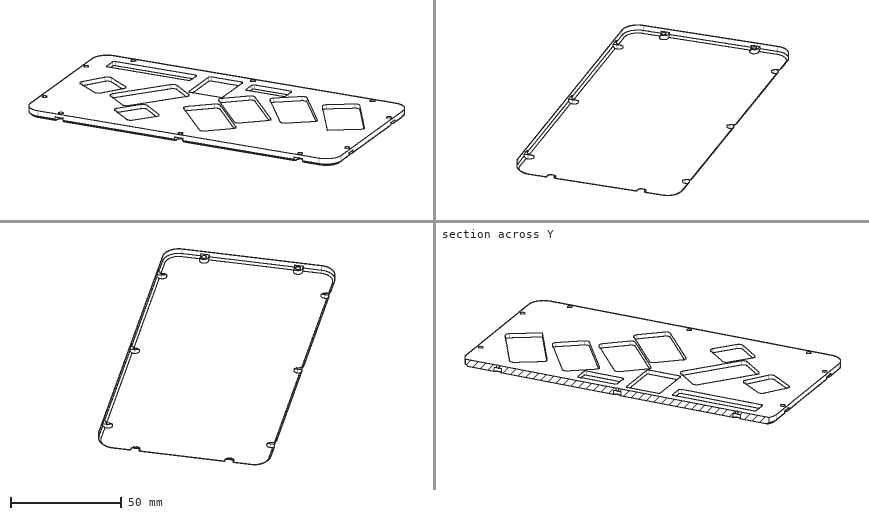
import cadquery as cq

LENGTH = 156.3
WIDTH = 79.5
THICKNESS = 3.6
CORNER_RADIUS = 7.5
BOTTOM_CHAMFER = 1.0

HOLE_DIAMETER = 2.2
HOLE_INSET = 2.0
LONG_EDGE_HOLE_X = 60.2
SHORT_EDGE_HOLE_Y = 21.7
RECESS_WIDTH = 4.0
RECESS_DEPTH = 2.0

POCKET_DEPTH = 2.0
KEY_WIDTH = 17.0
KEY_LENGTH = 33.0
SMALL_KEY_WIDTH = 16.0
KEY_CORNER_RADIUS = 2.0
BAR_WIDTH = 7.8
BAR_Y = 29.2
BAR_CORNER_RADIUS = 1.0

KEY_POCKETS = [
    (-34.0, 0.6, KEY_LENGTH, -40),
    (3.1, -13.8, KEY_LENGTH, 40),
    (12.8, 2.5, KEY_LENGTH, 40),
    (33.0, 11.7, KEY_LENGTH, 35),
    (-58.8, 3.1, SMALL_KEY_WIDTH, -35),
    (-29.5, -22.0, SMALL_KEY_WIDTH, -40),
]

END_KEY_X = 57.4
END_KEY_Y = 13.1
END_KEY_TURN = 30

STRAIGHT_POCKETS = [
    (-46.9, BAR_Y, 42.0, BAR_WIDTH),
    (12.0, BAR_Y, 19.9, BAR_WIDTH),
    (-11.5, 23.0, KEY_WIDTH, 22.2),
]


def make_plate():
    """Rounded plate standing on Z = 0 with its bottom rim chamfered."""
    plate = cq.Workplane("XY").box(LENGTH, WIDTH, THICKNESS, centered=(True, True, False))
    plate = plate.edges("|Z").fillet(CORNER_RADIUS)
    return plate.faces("<Z").edges().chamfer(BOTTOM_CHAMFER)


def make_pocket(x, y, size_x, size_y, radius, turn=0, rounded="|Z"):
    """Cutter for a pocket turned about its own centre; `rounded` selects its rounded corners."""
    cutter = cq.Workplane("XY").box(size_x, size_y, POCKET_DEPTH, centered=(True, True, False))
    cutter = cutter.edges(rounded).fillet(radius)
    cutter = cutter.rotate((0, 0, 0), (0, 0, 1), turn)
    return cutter.translate((x, y, THICKNESS - POCKET_DEPTH))


def make_screw_hole(x, y, outward):
    """Cutter for a through hole and its round-ended recess, open towards `outward` degrees."""
    hole = cq.Workplane("XY").circle(HOLE_DIAMETER / 2).extrude(THICKNESS)
    round_end = cq.Workplane("XY").circle(RECESS_WIDTH / 2).extrude(RECESS_DEPTH)
    opening = cq.Workplane("XY").box(
        RECESS_WIDTH, RECESS_WIDTH, RECESS_DEPTH, centered=(False, True, False)
    )
    cutter = hole.union(round_end).union(opening)
    return cutter.rotate((0, 0, 0), (0, 0, 1), outward).translate((x, y, 0))


result = make_plate()

for x, y, length, turn in KEY_POCKETS:
    result = result.cut(make_pocket(x, y, KEY_WIDTH, length, KEY_CORNER_RADIUS, turn))

result = result.cut(
    make_pocket(
        END_KEY_X, END_KEY_Y, KEY_WIDTH, KEY_LENGTH, KEY_CORNER_RADIUS, END_KEY_TURN,
        rounded="|Z and (>X or >Y)",
    )
)

for x, y, size_x, size_y in STRAIGHT_POCKETS:
    result = result.cut(make_pocket(x, y, size_x, size_y, BAR_CORNER_RADIUS))

hole_x = LENGTH / 2 - HOLE_INSET
hole_y = WIDTH / 2 - HOLE_INSET
for x in (-LONG_EDGE_HOLE_X, 0, LONG_EDGE_HOLE_X):
    result = result.cut(make_screw_hole(x, hole_y, 90))
    result = result.cut(make_screw_hole(x, -hole_y, -90))
for y in (-SHORT_EDGE_HOLE_Y, SHORT_EDGE_HOLE_Y):
    result = result.cut(make_screw_hole(hole_x, y, 0))
    result = result.cut(make_screw_hole(-hole_x, y, 180))